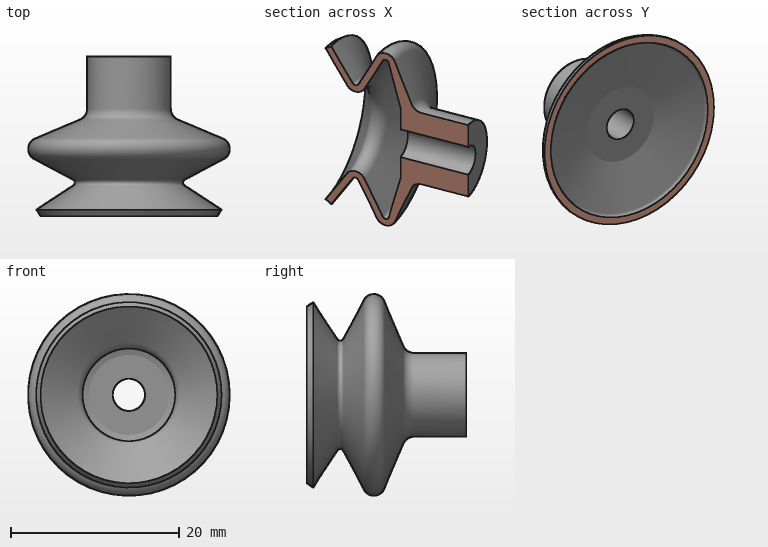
import math

import cadquery as cq

total_length = 19.0
outer_radius = 12.0
stem_radius = 5.0
hole_radius = 1.9
cavity_floor_radius = 4.75
cavity_floor_y = 10.0
lip_inner_radius = 10.5
neck_outer_radius = 6.45

wall = 0.95
tight_bend = 0.4
wide_bend = tight_bend + wall

neck_y = 4.0
bulge_y = 8.0
stem_fillet_y = 12.75

neck_center = (neck_outer_radius + tight_bend, neck_y)
bulge_center = (outer_radius - wide_bend, bulge_y)
stem_fillet_center = (stem_radius + wide_bend, stem_fillet_y)


def tangent_tilt(start, end, radius_sum):
    """Tilt from the radial plane of the line that passes between two bends.

    radius_sum is the sum of both bend radii; a sharp corner counts as radius zero.
    """
    radial = abs(end[0] - start[0])
    axial = end[1] - start[1]
    return math.atan2(axial, radial) - math.asin(radius_sum / math.hypot(radial, axial))


def on_arc(center, radius, angle):
    return (center[0] + radius * math.cos(angle), center[1] + radius * math.sin(angle))


lip_inner = (lip_inner_radius, 0.0)
cavity_floor_edge = (cavity_floor_radius, cavity_floor_y)

lip_tilt = tangent_tilt(lip_inner, neck_center, wide_bend)
mid_tilt = tangent_tilt(neck_center, bulge_center, tight_bend + wide_bend)
top_tilt = tangent_tilt(bulge_center, stem_fillet_center, 2 * wide_bend)
roof_tilt = tangent_tilt(bulge_center, cavity_floor_edge, tight_bend)

quarter_turn = math.pi / 2
neck_lip_side = -quarter_turn - lip_tilt
neck_bulge_side = quarter_turn + mid_tilt
bulge_neck_side = -quarter_turn + mid_tilt
bulge_stem_side = quarter_turn - top_tilt
bulge_roof_side = quarter_turn - roof_tilt
fillet_bulge_side = -quarter_turn - top_tilt

lip_outer = on_arc(lip_inner, wall, quarter_turn - lip_tilt)


def bend(profile, center, radius, start_angle, mid_angle, end_angle):
    """Line to the start of a bend, then its arc through mid_angle."""
    profile = profile.lineTo(*on_arc(center, radius, start_angle))
    return profile.threePointArc(on_arc(center, radius, mid_angle), on_arc(center, radius, end_angle))


def cup_profile():
    profile = cq.Workplane("XY").moveTo(*lip_inner).lineTo(*lip_outer)
    profile = bend(profile, neck_center, tight_bend, neck_lip_side, math.pi, neck_bulge_side)
    profile = bend(profile, bulge_center, wide_bend, bulge_neck_side, 0.0, bulge_stem_side)
    fillet_middle = (fillet_bulge_side - math.pi) / 2
    profile = bend(profile, stem_fillet_center, wide_bend, fillet_bulge_side, fillet_middle, -math.pi)
    profile = profile.lineTo(stem_radius, total_length).lineTo(hole_radius, total_length)
    profile = profile.lineTo(hole_radius, cavity_floor_y).lineTo(*cavity_floor_edge)
    profile = bend(profile, bulge_center, tight_bend, bulge_roof_side, 0.0, bulge_neck_side)
    profile = bend(profile, neck_center, wide_bend, neck_bulge_side, math.pi, neck_lip_side)
    return profile.close()


result = cup_profile().revolve(360, (0, 0, 0), (0, 1, 0))